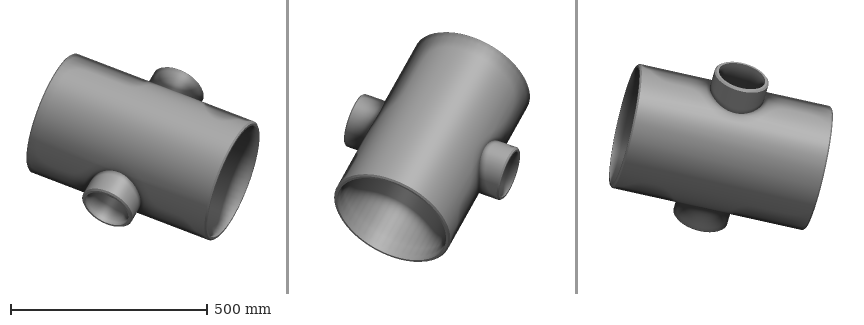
import cadquery as cq

run_length = 508.0
run_diameter = 324.0

branch_span = 432.0
branch_diameter = 142.0

wall = 10.0
bevel = 4.0


def rod(plane, length, diameter):
    """Solid cylinder centred on the origin, along the normal of the plane."""
    return cq.Workplane(plane).workplane(offset=-length / 2).circle(diameter / 2).extrude(length)


run = rod("YZ", run_length, run_diameter).edges("%CIRCLE").chamfer(bevel)
branches = rod("XZ", branch_span, branch_diameter).edges("%CIRCLE").chamfer(bevel)

run_bore = rod("YZ", run_length, run_diameter - 2 * wall)
branch_bore = rod("XZ", branch_span, branch_diameter - 2 * wall)

result = run.union(branches).cut(run_bore).cut(branch_bore)